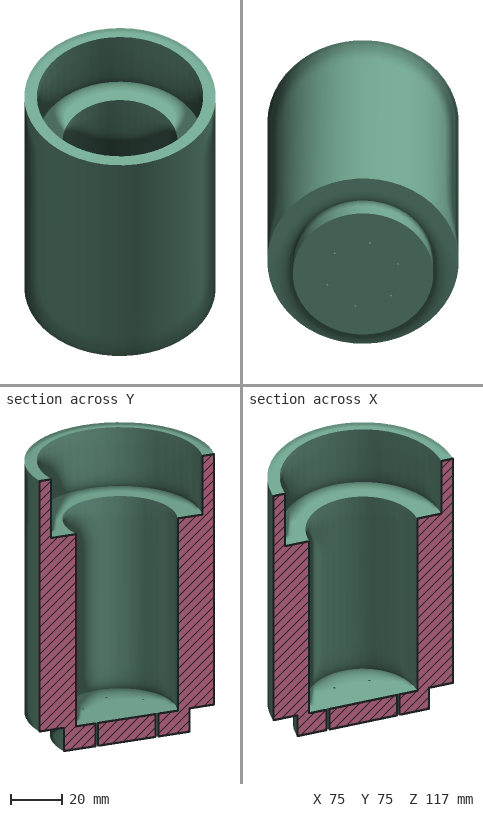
import cadquery as cq

total_height = 117.0
body_diameter = 75.0
foot_diameter = 55.0
foot_height = 10.0

mouth_diameter = 65.2
mouth_depth = 25.0
bore_diameter = 45.0
floor_thickness = foot_height

hole_count = 6
hole_diameter = 1.0
hole_circle_radius = 14.6
first_hole_angle = 90.0


def cylinder(diameter, bottom, top):
    """Solid cylinder on the Z axis between two heights."""
    return cq.Workplane("XY").workplane(offset=bottom).circle(diameter / 2).extrude(top - bottom)


def floor_holes():
    """Ring of small cylinders that cut through the floor."""
    return (
        cq.Workplane("XY")
        .polarArray(hole_circle_radius, first_hole_angle, 360, hole_count)
        .circle(hole_diameter / 2)
        .extrude(floor_thickness)
    )


ledge_level = total_height - mouth_depth

foot = cylinder(foot_diameter, 0, foot_height)
body = cylinder(body_diameter, foot_height, total_height)
mouth = cylinder(mouth_diameter, ledge_level, total_height)
bore = cylinder(bore_diameter, floor_thickness, ledge_level)

result = foot.union(body).cut(mouth).cut(bore).cut(floor_holes())